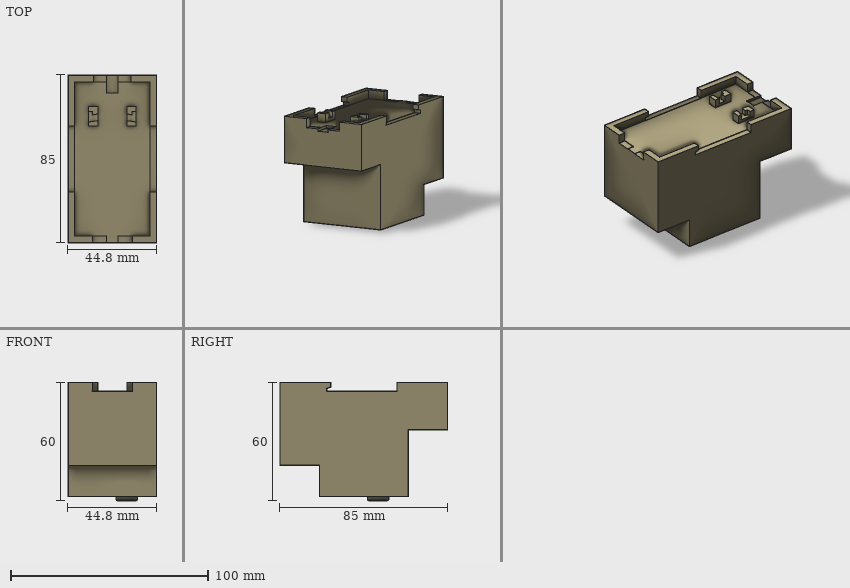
import cadquery as cq

LENGTH = 85.0
WIDTH = 44.8
TOTAL_HEIGHT = 60.0
BUTTON_HEIGHT = 2.1
BODY_HEIGHT = TOTAL_HEIGHT - BUTTON_HEIGHT
BACK_Y = LENGTH / 2
FRONT_Y = -LENGTH / 2

STEP_LENGTH = 20.0
BACK_BLOCK_HEIGHT = 24.05
FRONT_BLOCK_HEIGHT = 42.1

SIDE_WALL = 3.3
END_WALL = 3.6
SILL_DEPTH = 4.7
FLOOR_RISE = 0.2
FLOOR_DEPTH = SILL_DEPTH - FLOOR_RISE

BACK_GAP_WIDTH = 19.1
FRONT_GAP_WIDTH = 20.2
SIDE_GAP_BACK_Y = BACK_Y - 25.75
SIDE_GAP_FRONT_Y = BACK_Y - 59.25
UNDERCUT_LENGTH = 1.95
LIP_DEPTH = 2.5
LIP_ROOT_DEPTH = 3.1

GROOVE_WIDTH = 5.9
GROOVE_LENGTH = 9.1
GROOVE_DEPTH = 1.4

CLIP_INNER_X = 7.3
CLIP_WIDTH = 4.7
CLIP_LENGTH = 9.95
CLIP_SLOT_DEPTH = 2.9
CLIP_BACK_WALL = 2.55
CLIP_TOOTH_WIDTH = 2.7
CLIP_TOOTH_INNER = 3.8
CLIP_TOOTH_TIP = 4.25
CLIP_JAW_INNER = 7.2
CLIP_JAW_OUTER = 7.9

BUTTON_DIAMETER = 11.0
BUTTON_X = 7.3
BUTTON_Y = 7.2
BUTTON_FILLET = 1.0


def box_below(width, length, depth, y_center, z_top=0):
    """Box centred on X = 0 that hangs down from z_top."""
    return cq.Workplane("XY", origin=(0, y_center, z_top)).rect(width, length).extrude(-depth)


def make_body():
    """Block with a step under each end."""
    profile = [
        (BACK_Y, 0),
        (BACK_Y, -BACK_BLOCK_HEIGHT),
        (BACK_Y - STEP_LENGTH, -BACK_BLOCK_HEIGHT),
        (BACK_Y - STEP_LENGTH, -BODY_HEIGHT),
        (FRONT_Y + STEP_LENGTH, -BODY_HEIGHT),
        (FRONT_Y + STEP_LENGTH, -FRONT_BLOCK_HEIGHT),
        (FRONT_Y, -FRONT_BLOCK_HEIGHT),
        (FRONT_Y, 0),
    ]
    return cq.Workplane("YZ").polyline(profile).close().extrude(WIDTH / 2, both=True)


def make_side_gap():
    """Cutter through the +X side wall, with an undercut lip at its front end."""
    undercut_y = SIDE_GAP_FRONT_Y - UNDERCUT_LENGTH
    profile = [
        (SIDE_GAP_BACK_Y, 0),
        (SIDE_GAP_BACK_Y, -SILL_DEPTH),
        (undercut_y, -SILL_DEPTH),
        (undercut_y, -LIP_ROOT_DEPTH),
        (SIDE_GAP_FRONT_Y, -LIP_DEPTH),
        (SIDE_GAP_FRONT_Y, 0),
    ]
    wall_x = WIDTH / 2 - SIDE_WALL
    return cq.Workplane("YZ", origin=(wall_x, 0, 0)).polyline(profile).close().extrude(SIDE_WALL)


def make_clip():
    """Clip on the +X side: a block slotted between a toothed back and a slanted jaw."""
    back_y = SIDE_GAP_BACK_Y + CLIP_LENGTH
    outer_x = CLIP_INNER_X + CLIP_WIDTH
    tooth_x = CLIP_INNER_X + CLIP_TOOTH_WIDTH
    block = (
        cq.Workplane("XY", origin=(CLIP_INNER_X, SIDE_GAP_BACK_Y, -FLOOR_DEPTH))
        .box(CLIP_WIDTH, CLIP_LENGTH, FLOOR_DEPTH, centered=False)
    )
    slot_outline = [
        (outer_x, back_y - CLIP_BACK_WALL),
        (tooth_x, back_y - CLIP_BACK_WALL),
        (tooth_x, back_y - CLIP_TOOTH_TIP),
        (CLIP_INNER_X, back_y - CLIP_TOOTH_INNER),
        (CLIP_INNER_X, back_y - CLIP_JAW_INNER),
        (outer_x, back_y - CLIP_JAW_OUTER),
    ]
    slot = cq.Workplane("XY").polyline(slot_outline).close().extrude(-CLIP_SLOT_DEPTH)
    return block.cut(slot)


def make_button():
    """Round button with a rounded lower edge."""
    return (
        cq.Workplane("XY", origin=(BUTTON_X, BUTTON_Y, -BODY_HEIGHT))
        .circle(BUTTON_DIAMETER / 2)
        .extrude(-BUTTON_HEIGHT)
        .faces("<Z")
        .edges()
        .fillet(BUTTON_FILLET)
    )


recess = box_below(WIDTH - 2 * SIDE_WALL, LENGTH - 2 * END_WALL, FLOOR_DEPTH, 0)
back_gap = box_below(BACK_GAP_WIDTH, END_WALL, SILL_DEPTH, BACK_Y - END_WALL / 2)
front_gap = box_below(FRONT_GAP_WIDTH, END_WALL, SILL_DEPTH, FRONT_Y + END_WALL / 2)
side_gap = make_side_gap()

groove = box_below(GROOVE_WIDTH, GROOVE_LENGTH, FLOOR_DEPTH + GROOVE_DEPTH, BACK_Y - GROOVE_LENGTH / 2)
tongue = box_below(GROOVE_WIDTH, END_WALL, FLOOR_RISE, FRONT_Y + END_WALL / 2, -FLOOR_DEPTH)

result = make_body()
for cutter in (recess, back_gap, front_gap, side_gap, side_gap.mirror("YZ"), groove):
    result = result.cut(cutter)

clip = make_clip()
for addition in (tongue, clip, clip.mirror("YZ"), make_button()):
    result = result.union(addition)